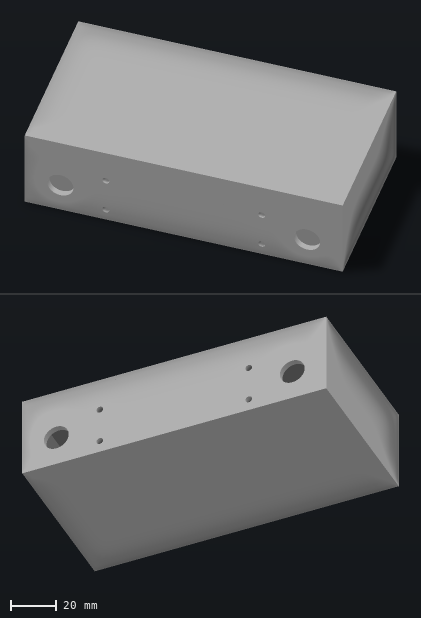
import cadquery as cq

length = 147.0
width = 77.0
height = 40.0

lid_thickness = 2.0
wall = 3.0
floor = 3.0
housing_height = height - lid_thickness

cable_hole_diameter = 12.0
cable_hole_spacing = 114.0
cable_hole_height = 14.7
screw_hole_diameter = 3.2
screw_hole_spacing_x = 72.0
screw_hole_spacing_z = 17.5
screw_hole_center_height = cable_hole_height


def cut_through_walls(body, positions, diameter):
    """Cut round holes along Y, at (x, z) positions, through both long walls."""
    drills = (
        cq.Workplane("XZ")
        .pushPoints(positions)
        .circle(diameter / 2)
        .extrude(width, both=True)
    )
    return body.cut(drills)


def make_housing():
    """Open-topped box with cable and screw holes in its long walls."""
    body = cq.Workplane("XY").box(length, width, housing_height, centered=(True, True, False))
    cavity = (
        cq.Workplane("XY")
        .workplane(offset=floor)
        .rect(length - 2 * wall, width - 2 * wall)
        .extrude(housing_height - floor)
    )
    body = body.cut(cavity)

    cable_positions = [(side * cable_hole_spacing / 2, cable_hole_height) for side in (-1, 1)]
    body = cut_through_walls(body, cable_positions, cable_hole_diameter)

    screw_positions = [
        (side * screw_hole_spacing_x / 2, screw_hole_center_height + level * screw_hole_spacing_z / 2)
        for side in (-1, 1)
        for level in (-1, 1)
    ]
    return cut_through_walls(body, screw_positions, screw_hole_diameter)


def make_lid():
    """Flat plate that closes the top of the housing."""
    return (
        cq.Workplane("XY")
        .workplane(offset=housing_height)
        .rect(length, width)
        .extrude(lid_thickness)
    )


housing = make_housing()
lid = make_lid()

result = cq.Compound.makeCompound([housing.val(), lid.val()])